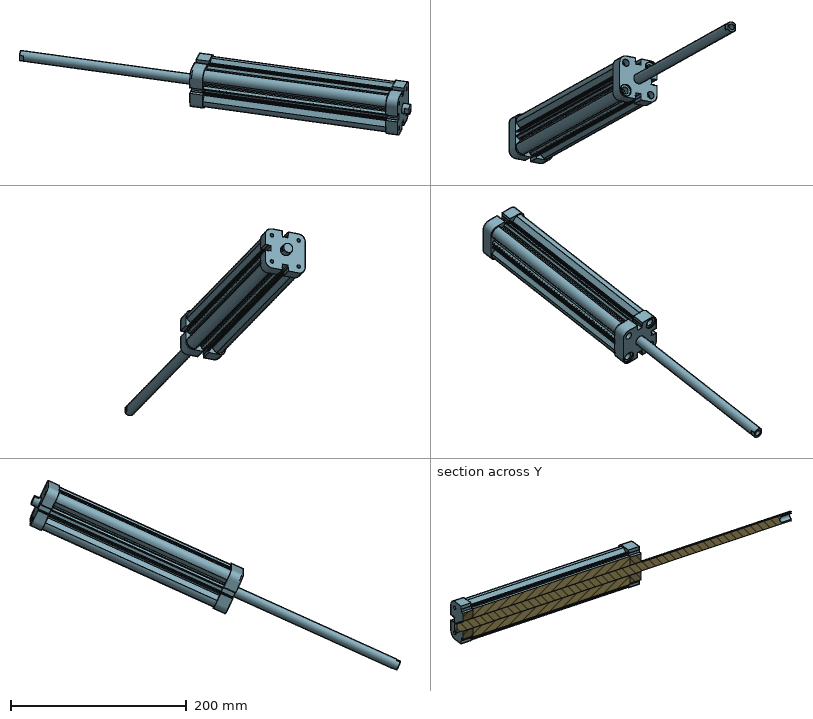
import cadquery as cq
import math

FRONT_CAP_X = 206.0
FRONT_CAP_LENGTH = 15.0
TUBE_LENGTH = 215.5
REAR_CAP_LENGTH = 13.8
ROD_LENGTH = 458.5
TUBE_X = FRONT_CAP_X + FRONT_CAP_LENGTH
REAR_CAP_X = TUBE_X + TUBE_LENGTH

CAP_WIDTH = 49.5
CAP_CORNER_RADIUS = 8.5
CAP_INSET = 1.5
TUBE_WIDTH = CAP_WIDTH - 2 * CAP_INSET
TUBE_CORNER_RADIUS = 8.3
TUBE_HALF = TUBE_WIDTH / 2

GROOVE_OUTER = 13.5
GROOVE_FLOOR_OUTER = 8.0
GROOVE_FLOOR_INNER = 6.0
RIB_FOOT = 5.5
RIB_HALF_WIDTH = 3.45
RIB_FOOT_HEIGHT = 2.0
RIB_INSET = 0.5
GROOVE_DEPTH = 5.0

SLOT_MOUTH_WIDTH = 4.0
SLOT_INNER_WIDTH = 6.0
SLOT_LIP = 2.5
SLOT_DEPTH = 4.5

CAP_SLOT_WIDTH = 7.5
CAP_SLOT_STEP_DEPTH = 4.0
CAP_SLOT_INNER_WIDTH = 6.5
CAP_SLOT_DEPTH = 7.5

BOLT_OFFSET = 16.5
BOLT_HOLE_DIAMETER = 4.0
THREAD_HOLE_DIAMETER = 8.3
THREAD_HOLE_DEPTH = 9.0
COUNTERBORE_DIAMETER = 13.8
COUNTERBORE_DEPTH = 2.0

ROD_DIAMETER = 12.0
FLATS_WIDTH = 10.0
FLATS_LENGTH = 5.0
REAR_CHAMFER_LENGTH = 1.5
REAR_CHAMFER_DEPTH = 0.25
ROD_HOLE_DIAMETER = 7.0
ROD_HOLE_DEPTH = 13.8
DRILL_POINT_ANGLE = 118.0

QUARTER_TURNS = (0, 90, 180, 270)
CAP_SLOT_TURNS = (0, 90, 180)
BOLT_CENTRES = [(y * BOLT_OFFSET, z * BOLT_OFFSET) for y in (-1, 1) for z in (-1, 1)]
COUNTERBORE_CENTRES = [(y, z) for y, z in BOLT_CENTRES if y * z < 0]


def section_at(x):
    """Workplane across the axis, with local axes along +Y and +Z."""
    return cq.Workplane("YZ", origin=(x, 0, 0))


def rounded_bar(x, length, width, corner_radius):
    """Square bar along X with rounded long edges."""
    bar = section_at(x).rect(width, width).extrude(length)
    return bar.edges("|X").fillet(corner_radius)


def drilled(x, centres, diameter, length):
    """Round cutters along X."""
    return section_at(x).pushPoints(centres).circle(diameter / 2).extrude(length)


def turned(shape, angle):
    """Copy of a shape turned about the cylinder axis."""
    return shape.rotate((0, 0, 0), (1, 0, 0), angle)


def groove_cutter(side):
    """Groove on the top side of the tube; side is -1 or 1 along Y."""
    floor = TUBE_HALF - GROOVE_DEPTH
    points = [
        (side * GROOVE_OUTER, TUBE_HALF),
        (side * GROOVE_FLOOR_OUTER, floor),
        (side * GROOVE_FLOOR_INNER, floor),
        (side * RIB_FOOT, floor + RIB_FOOT_HEIGHT),
        (side * RIB_HALF_WIDTH, TUBE_HALF - RIB_INSET),
        (0, TUBE_HALF - RIB_INSET),
        (0, TUBE_HALF),
    ]
    return section_at(TUBE_X).polyline(points).close().extrude(TUBE_LENGTH)


def t_slot_cutter():
    """T-slot in the top side of the tube."""
    mouth_middle = TUBE_HALF - SLOT_DEPTH / 2
    chamber_height = SLOT_DEPTH - SLOT_LIP
    chamber_middle = TUBE_HALF - SLOT_LIP - chamber_height / 2
    mouth = section_at(TUBE_X).center(0, mouth_middle).rect(SLOT_MOUTH_WIDTH, SLOT_DEPTH).extrude(TUBE_LENGTH)
    chamber = section_at(TUBE_X).center(0, chamber_middle).rect(SLOT_INNER_WIDTH, chamber_height)
    return mouth.union(chamber.extrude(TUBE_LENGTH))


def make_tube():
    """Profiled barrel with grooves, T-slots, bolt holes and the rod bore."""
    tube = rounded_bar(TUBE_X, TUBE_LENGTH, TUBE_WIDTH, TUBE_CORNER_RADIUS)
    for angle in QUARTER_TURNS:
        for cutter in (groove_cutter(-1), groove_cutter(1), t_slot_cutter()):
            tube = tube.cut(turned(cutter, angle))
    tube = tube.cut(drilled(TUBE_X, BOLT_CENTRES, BOLT_HOLE_DIAMETER, TUBE_LENGTH))
    return tube.cut(drilled(TUBE_X, [(0, 0)], ROD_DIAMETER, TUBE_LENGTH))


def cap_slot_cutter(x, length):
    """Stepped slot in the top edge of a cap."""
    outer_middle = (CAP_WIDTH - CAP_SLOT_STEP_DEPTH) / 2
    inner_middle = (CAP_WIDTH - CAP_SLOT_DEPTH) / 2
    outer = section_at(x).center(0, outer_middle).rect(CAP_SLOT_WIDTH, CAP_SLOT_STEP_DEPTH).extrude(length)
    inner = section_at(x).center(0, inner_middle).rect(CAP_SLOT_INNER_WIDTH, CAP_SLOT_DEPTH).extrude(length)
    return outer.union(inner)


def make_cap(x, length):
    """End cap with edge slots, bolt holes and the rod bore."""
    cap = rounded_bar(x, length, CAP_WIDTH, CAP_CORNER_RADIUS)
    slot = cap_slot_cutter(x, length)
    for angle in CAP_SLOT_TURNS:
        cap = cap.cut(turned(slot, angle))
    cap = cap.cut(drilled(x, BOLT_CENTRES, BOLT_HOLE_DIAMETER, length))
    return cap.cut(drilled(x, [(0, 0)], ROD_DIAMETER, length))


def make_front_cap():
    """Front cap, with threaded holes and two counterbores on its outer face."""
    cap = make_cap(FRONT_CAP_X, FRONT_CAP_LENGTH)
    cap = cap.cut(drilled(FRONT_CAP_X, BOLT_CENTRES, THREAD_HOLE_DIAMETER, THREAD_HOLE_DEPTH))
    return cap.cut(drilled(FRONT_CAP_X, COUNTERBORE_CENTRES, COUNTERBORE_DIAMETER, COUNTERBORE_DEPTH))


def wrench_flats(x):
    """Cutters for two flats facing -Y and +Y at one rod end."""
    flat_depth = (ROD_DIAMETER - FLATS_WIDTH) / 2
    offset = (FLATS_WIDTH + flat_depth) / 2
    slabs = section_at(x).pushPoints([(-offset, 0), (offset, 0)]).rect(flat_depth, ROD_DIAMETER)
    return slabs.extrude(FLATS_LENGTH)


def rod_hole():
    """Blind hole in the front end of the rod, with a drill-point bottom."""
    radius = ROD_HOLE_DIAMETER / 2
    tip = ROD_HOLE_DEPTH + radius / math.tan(math.radians(DRILL_POINT_ANGLE / 2))
    half = cq.Workplane("XZ").polyline([(0, 0), (0, radius), (ROD_HOLE_DEPTH, radius), (tip, 0)]).close()
    return half.revolve(360, (0, 0, 0), (1, 0, 0))


def make_rod():
    """Through piston rod with flats at both ends."""
    rod = drilled(0, [(0, 0)], ROD_DIAMETER, ROD_LENGTH)
    rod = rod.faces(">X").chamfer(REAR_CHAMFER_LENGTH, REAR_CHAMFER_DEPTH)
    rod = rod.cut(wrench_flats(0))
    rod = rod.cut(wrench_flats(ROD_LENGTH - FLATS_LENGTH))
    return rod.cut(rod_hole())


tube = make_tube()
front_cap = make_front_cap()
rear_cap = make_cap(REAR_CAP_X, REAR_CAP_LENGTH)
rod = make_rod()

result = cq.Compound.makeCompound([tube.val(), front_cap.val(), rear_cap.val(), rod.val()])